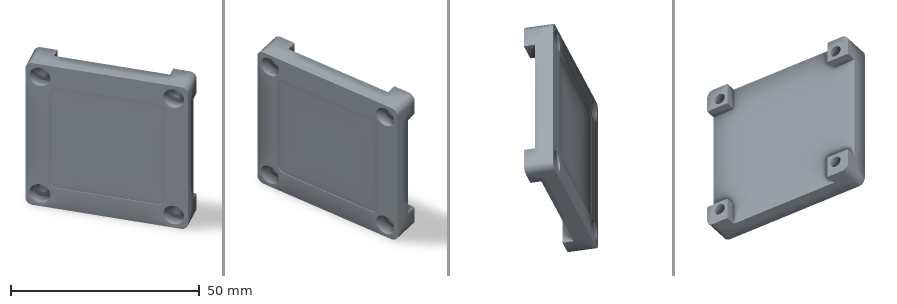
import cadquery as cq

side = 45.0
depth = 8.0
corner_radius = 2.0

channel_width = 32.0
channel_depth = 3.0

recess_width = channel_width
recess_depth = 0.2
recess_corner_radius = corner_radius

hole_inset = 4.0
hole_diameter = 3.2
counterbore_diameter = 5.8
counterbore_depth = 3.2


def block(size_x, size_z, start_y, length_y):
    """Box centred on the Y axis, running from start_y towards +Y."""
    return cq.Workplane("XY").box(size_x, length_y, size_z).translate((0, start_y + length_y / 2, 0))


def corner_holes(diameter, length):
    """Four cylinders running back from the front face, one per corner."""
    hole_spacing = side - 2 * hole_inset
    return (
        cq.Workplane("XZ")
        .rect(hole_spacing, hole_spacing, forConstruction=True)
        .vertices()
        .circle(diameter / 2)
        .extrude(-length)
    )


body = block(side, side, 0, depth).edges("|Y").fillet(corner_radius)

channel_floor = depth - channel_depth
body = body.cut(block(side, channel_width, channel_floor, channel_depth))
body = body.cut(block(channel_width, side, channel_floor, channel_depth))

recess = block(recess_width, recess_width, 0, recess_depth).edges("|Y").fillet(recess_corner_radius)
body = body.cut(recess)

body = body.cut(corner_holes(hole_diameter, depth))
body = body.cut(corner_holes(counterbore_diameter, counterbore_depth))

result = body